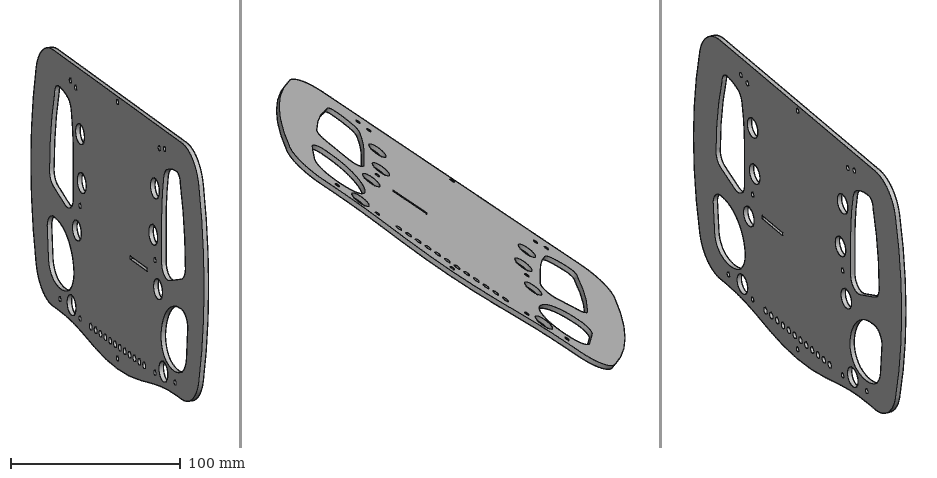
import cadquery as cq
import math

width = 250.0
half_width = width / 2
half_height = 80.0
thickness = 3.0
side_radius = 250.0
corner_radius = 25.0

bulge_depth = 10.0
bulge_half_width = 85.0
bulge_radius = 175.0

button_diameter = 12.5
button_centres = [(54.0, 39.5), (51.5, 9.8), (58.5, -22.0), (66.2, -71.0)]
screw_diameter = 3.0
screw_centres = [(68.0, 68.5), (60.2, 66.5), (54.0, -5.2), (54.0, -75.5), (83.0, -72.5)]
centre_screw_heights = [76.5, -83.5]

row_diameter = 4.0
row_count = 12
row_pitch = 7.0
row_height = -75.8

slot_length = 24.5
slot_height = 2.0
slot_centre = (30.5, -14.8)


def workplane():
    """XZ plane through the middle of the plate thickness."""
    return cq.Workplane("XZ")


def extrude_plate(profile, depth=thickness):
    return profile.extrude(depth / 2, both=True)


def polar(centre, radius, angle):
    return (centre[0] + radius * math.cos(angle), centre[1] + radius * math.sin(angle))


def mirrored(point):
    return (-point[0], point[1])


def make_plate():
    side_centre_x = half_width - side_radius
    corner_z = half_height - corner_radius
    corner_x = side_centre_x + math.sqrt((side_radius - corner_radius) ** 2 - corner_z**2)
    tangent_angle = math.atan2(corner_z, corner_x - side_centre_x)
    middle_angle = (tangent_angle + math.pi / 2) / 2
    corner = (corner_x, corner_z)
    top_end = (corner_x, half_height)
    corner_middle = polar(corner, corner_radius, middle_angle)
    side_end = polar(corner, corner_radius, tangent_angle)

    def lower(point):
        return (point[0], -point[1])

    outer_centre = (bulge_half_width, -half_height - bulge_radius)
    inner_centre = (0, -half_height - bulge_depth + bulge_radius)
    rise = inner_centre[1] - outer_centre[1]
    centre_distance = math.hypot(bulge_half_width, rise)
    slope = math.atan2(bulge_half_width, rise) - math.acos(2 * bulge_radius / centre_distance)
    up = math.pi / 2
    flank_start = (bulge_half_width, -half_height)
    flank_middle = polar(outer_centre, bulge_radius, up + slope / 2)
    flank_end = polar(outer_centre, bulge_radius, up + slope)
    bulge_start = polar(inner_centre, bulge_radius, slope - up)
    bulge_bottom = (0, -half_height - bulge_depth)

    profile = (
        workplane()
        .moveTo(*mirrored(top_end))
        .lineTo(*top_end)
        .threePointArc(corner_middle, side_end)
        .threePointArc((half_width, 0), lower(side_end))
        .threePointArc(lower(corner_middle), lower(top_end))
        .lineTo(*flank_start)
        .threePointArc(flank_middle, flank_end)
        .lineTo(*bulge_start)
        .threePointArc(bulge_bottom, mirrored(bulge_start))
        .lineTo(*mirrored(flank_end))
        .threePointArc(mirrored(flank_middle), mirrored(flank_start))
        .lineTo(*mirrored(lower(top_end)))
        .threePointArc(mirrored(lower(corner_middle)), mirrored(lower(side_end)))
        .threePointArc((-half_width, 0), mirrored(side_end))
        .threePointArc(mirrored(corner_middle), mirrored(top_end))
        .close()
    )
    return extrude_plate(profile)


def make_upper_grip():
    """Tall right-hand opening with a bowed outer side and rounded corners."""
    profile = (
        workplane()
        .moveTo(90.5, 54.0)
        .threePointArc((95.8, 30.5), (97.8, 5.0))
        .threePointArc((96.5, -1.5), (91.8, -5.2))
        .lineTo(75.0, -11.5)
        .threePointArc((67.5, -10.5), (63.8, -4.0))
        .lineTo(63.8, 22.2)
        .threePointArc((64.5, 36.2), (66.8, 50.2))
        .threePointArc((68.0, 53.5), (70.5, 56.2))
        .threePointArc((78.0, 59.0), (86.0, 59.8))
        .threePointArc((89.0, 58.0), (90.5, 54.0))
        .close()
    )
    return extrude_plate(profile, 2 * thickness)


def make_lower_grip():
    """Teardrop-shaped right-hand opening."""
    profile = (
        workplane()
        .moveTo(101.2, -32.2)
        .lineTo(99.5, -51.5)
        .threePointArc((96.8, -59.2), (91.2, -63.8))
        .threePointArc((81.0, -65.8), (70.5, -63.2))
        .threePointArc((64.5, -56.8), (63.0, -48.0))
        .threePointArc((71.0, -31.8), (90.0, -24.0))
        .threePointArc((98.0, -26.0), (101.2, -32.2))
        .close()
    )
    return extrude_plate(profile, 2 * thickness)


def make_holes(centres, diameter):
    return extrude_plate(workplane().pushPoints(centres).circle(diameter / 2), 2 * thickness)


def both_sides(centres):
    return centres + [mirrored(point) for point in centres]


def make_slot():
    profile = workplane().center(*slot_centre).rect(slot_length, slot_height)
    return extrude_plate(profile, 2 * thickness)


result = make_plate()

for grip in (make_upper_grip(), make_lower_grip()):
    result = result.cut(grip).cut(grip.mirror("YZ"))

centre_screws = [(0, height) for height in centre_screw_heights]
first_row_x = -row_pitch * (row_count - 1) / 2
row_centres = [(first_row_x + i * row_pitch, row_height) for i in range(row_count)]

result = result.cut(make_holes(both_sides(button_centres), button_diameter))
result = result.cut(make_holes(both_sides(screw_centres) + centre_screws, screw_diameter))
result = result.cut(make_holes(row_centres, row_diameter))
result = result.cut(make_slot())